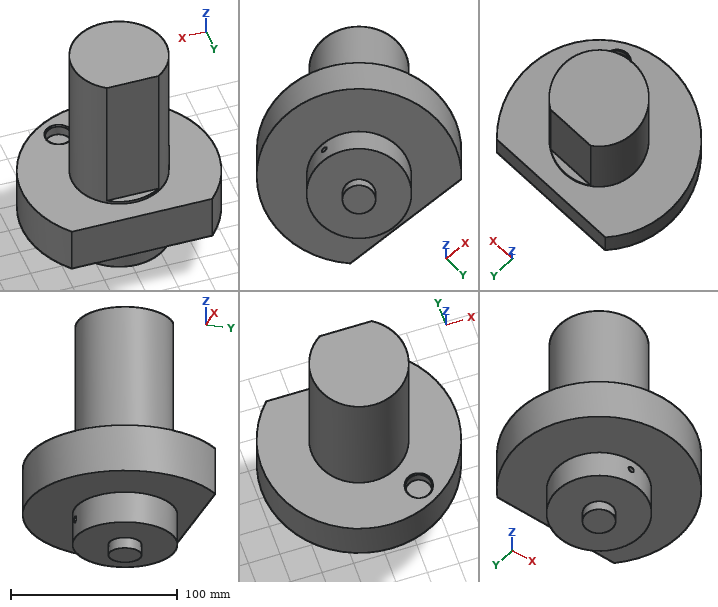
import cadquery as cq
import math

flange_diameter = 122.9
flange_depth_y = 103.7
flange_height = 30.2
flange_flat_y = flange_depth_y - flange_diameter / 2

shaft_diameter = 60.0
shaft_height = 93.9
shaft_flat_y = 25.0
shaft_flat_start = 1.8

boss_diameter = 63.0
boss_height = 20.0
pin_diameter = 20.0
pin_height = 7.0

pocket_diameter = 16.0
pocket_rim_diameter = 17.2
pocket_depth = 7.4
pocket_chamfer_half_angle = 30
pocket_circle_radius = 48.0
pocket_angle = math.radians(-60)

drill_diameter = 4.0
drill_drop = 7.9
drill_depth = 10.0
drill_point_half_angle = 68

boss_bottom = pin_height
flange_bottom = boss_bottom + boss_height
flange_top = flange_bottom + flange_height


def cylinder(diameter, height, bottom):
    """Vertical cylinder on the part's axis."""
    return cq.Workplane("XY", origin=(0, 0, bottom)).circle(diameter / 2).extrude(height)


def flatted_cylinder(diameter, height, bottom, flat_y, flat_start=0):
    """Vertical cylinder with everything beyond flat_y removed above flat_start."""
    waste = (
        cq.Workplane("XY", origin=(0, flat_y, bottom + flat_start))
        .rect(diameter, diameter)
        .extrude(height - flat_start)
        .translate((0, diameter / 2, 0))
    )
    return cylinder(diameter, height, bottom).cut(waste)


def flange_pocket():
    """Cutter for the blind hole, including its rim chamfer."""
    chamfer_width = (pocket_rim_diameter - pocket_diameter) / 2
    chamfer_depth = chamfer_width / math.tan(math.radians(pocket_chamfer_half_angle))
    cutter = (
        cq.Workplane("XY")
        .circle(pocket_rim_diameter / 2)
        .extrude(-chamfer_depth, taper=pocket_chamfer_half_angle)
        .union(cq.Workplane("XY").circle(pocket_diameter / 2).extrude(-pocket_depth))
    )
    return cutter.translate((
        pocket_circle_radius * math.cos(pocket_angle),
        pocket_circle_radius * math.sin(pocket_angle),
        flange_top,
    ))


def boss_drill_hole():
    """Cutter for the radial hole, a straight bore ending in a conical drill point."""
    radius = drill_diameter / 2
    point_length = radius / math.tan(math.radians(drill_point_half_angle))
    return (
        cq.Workplane("XY")
        .lineTo(radius, 0)
        .lineTo(radius, drill_depth)
        .lineTo(0, drill_depth + point_length)
        .close()
        .revolve(360, (0, 0), (0, 1))
        .translate((0, -boss_diameter / 2, flange_bottom - drill_drop))
    )


pin = cylinder(pin_diameter, pin_height, 0)
boss = cylinder(boss_diameter, boss_height, boss_bottom)
flange = flatted_cylinder(flange_diameter, flange_height, flange_bottom, flange_flat_y)
shaft = flatted_cylinder(shaft_diameter, shaft_height, flange_top, shaft_flat_y, shaft_flat_start)

result = pin.union(boss).union(flange).union(shaft)
result = result.cut(flange_pocket()).cut(boss_drill_hole())